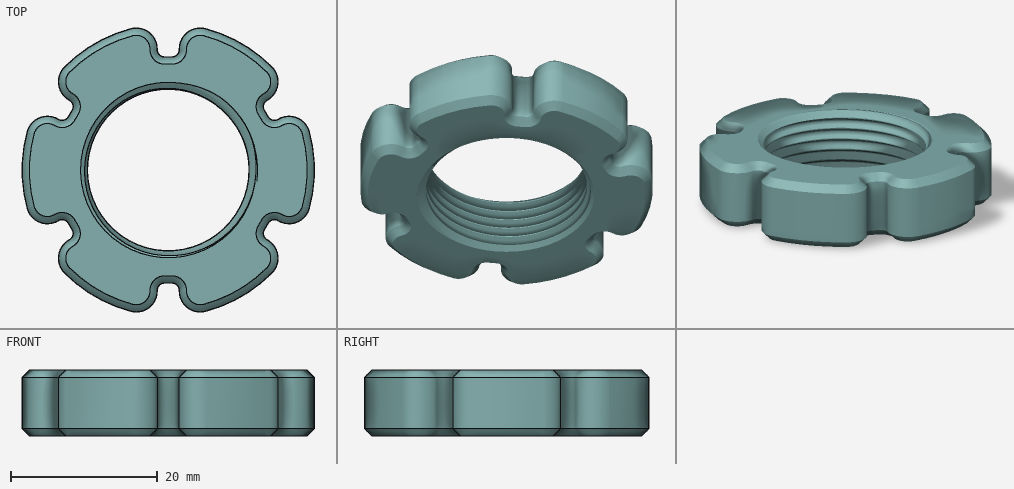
import cadquery as cq
import math

outer_diameter = 39.85
outer_radius = outer_diameter / 2
height = 9.0
edge_chamfer = 1.0

slot_count = 6
slot_width = 3.0
slot_floor_radius = 15.42
slot_floor_fillet = 1.0
slot_mouth_fillet = 2.85
first_slot_angle = 90.0

minor_diameter = 22.0
root_diameter = 24.35
countersink_diameter = 23.9
countersink_depth = 0.8
thread_turns = 6
thread_pitch = height / thread_turns
crest_flat = 0.1
root_flat = 0.1
thread_start_angle = 40.0

overrun = 0.4
groove_overlap = 0.05


def slot_cutter(angle):
    """Straight slot with rounded floor corners, running outwards at the given angle."""
    length = outer_radius + overrun - slot_floor_radius
    return (
        cq.Workplane("XY")
        .box(length, slot_width, height, centered=(False, True, False))
        .edges("|Z and <X")
        .fillet(slot_floor_fillet)
        .translate((slot_floor_radius, 0, 0))
        .rotate((0, 0, 0), (0, 0, 1), angle)
    )


def make_body():
    """Slotted disc with rounded slot mouths and chamfered top and bottom outlines."""
    body = cq.Workplane("XY").circle(outer_radius).extrude(height)
    for i in range(slot_count):
        body = body.cut(slot_cutter(first_slot_angle + i * 360 / slot_count))

    mouth_distance = outer_radius - overrun
    rim_edges = [
        edge for edge in body.edges("|Z").vals()
        if math.hypot(edge.Center().x, edge.Center().y) > mouth_distance
    ]
    body = body.newObject(rim_edges).fillet(slot_mouth_fillet)
    return body.faces("<Z or >Z").edges().chamfer(edge_chamfer)


def make_bore():
    """Plain bore with a shallow conical countersink at both ends."""
    minor_radius = minor_diameter / 2
    countersink_radius = countersink_diameter / 2
    return (
        cq.Workplane("XZ")
        .moveTo(0, 0)
        .lineTo(countersink_radius, 0)
        .lineTo(minor_radius, countersink_depth)
        .lineTo(minor_radius, height - countersink_depth)
        .lineTo(countersink_radius, height)
        .lineTo(0, height)
        .close()
        .revolve(360, (0, 0, 0), (0, 1, 0))
    )


def make_groove_turn():
    """One right-hand turn of the V groove, as ruled helical faces closed by two end caps."""
    minor_radius = minor_diameter / 2
    root_radius = root_diameter / 2
    half_root = root_flat / 2
    half_mouth = (thread_pitch - crest_flat) / 2
    flank_slope = (half_mouth - half_root) / (root_radius - minor_radius)
    inner_radius = minor_radius - groove_overlap
    half_inner = half_mouth + groove_overlap * flank_slope
    corners = [
        (inner_radius, -half_inner),
        (root_radius, -half_root),
        (root_radius, half_root),
        (inner_radius, half_inner),
    ]
    helices = [
        cq.Wire.makeHelix(thread_pitch, thread_pitch, radius, cq.Vector(0, 0, z))
        for radius, z in corners
    ]
    faces = [
        cq.Face.makeRuledSurface(helices[i - 1], helices[i]) for i in range(len(helices))
    ]
    for end_z in (0, thread_pitch):
        outline = [cq.Vector(radius, 0, z + end_z) for radius, z in corners]
        faces.append(cq.Face.makeFromWires(cq.Wire.makePolygon(outline, close=True)))
    turn = cq.Solid.makeSolid(cq.Shell.makeShell(faces))
    return turn.rotate((0, 0, 0), (0, 0, 1), thread_start_angle)


def cut_thread(nut):
    """Cut the groove turn by turn, from below the bottom face to above the top face."""
    turn = make_groove_turn()
    for i in range(-1, thread_turns + 1):
        nut = nut.cut(cq.Workplane(obj=turn.translate(cq.Vector(0, 0, i * thread_pitch))))
    return nut


result = cut_thread(make_body().cut(make_bore()))